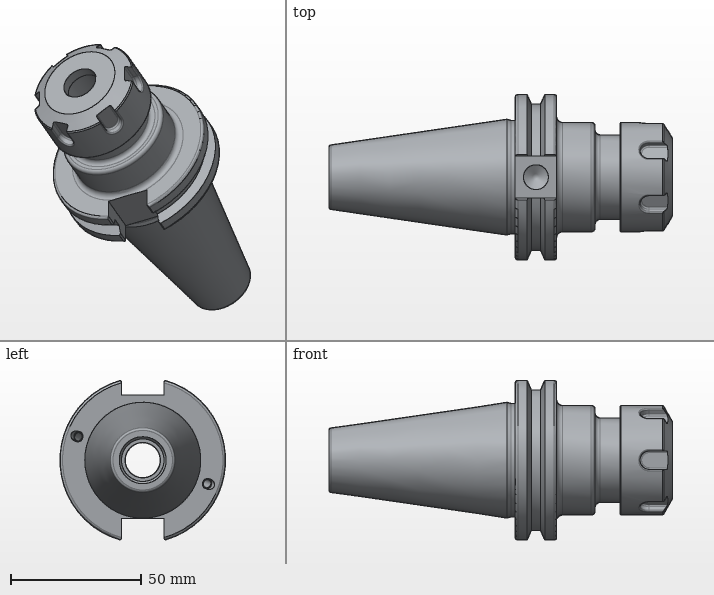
import cadquery as cq
import math


GAUGE_DIAMETER = 44.45
TAPER_LENGTH = 68.25
TAPER_RATIO = 7 / 24
TAPER_END_RADIUS = 1.0
RELIEF_DIAMETER = 43.6
RELIEF_START = 1.5

FLANGE_START = 3.175
FLANGE_WIDTH = 15.875
FLANGE_DIAMETER = 63.5
FLANGE_RIM_RADIUS = 1.0
GROOVE_FLOOR_DIAMETER = 56.3
GROOVE_FLOOR_WIDTH = 3.5
GROOVE_SIDE_LENGTH = 1.65

COLLAR_DIAMETER = 42.0
COLLAR_END = 33.8
COLLAR_FILLET = 2.3
COLLAR_END_RADIUS = 1.5
NECK_DIAMETER = 32.5
NECK_FILLET = 1.9
NOSE_DIAMETER = 32.0

NUT_START = 43.3
NUT_END = 63.5
NUT_DIAMETER = 42.0
NUT_BACK_CHAMFER = 0.4
NUT_CONE_LENGTH = 3.6
NUT_CONE_ANGLE = 60.0
NUT_CONE_EDGE_BREAK = 0.25
NUT_LIP = 4.0
NUT_SLOT_COUNT = 6
NUT_SLOT_WIDTH = 7.0
NUT_SLOT_LENGTH = 12.5
NUT_SLOT_FLOOR = 17.9
NUT_SLOT_FLOOR_FILLET = 0.6
NUT_SLOT_RIM_FILLET = 0.5

BORE_DIAMETER = 13.39
COUNTERBORE_DIAMETER = 16.3
COUNTERBORE_DEPTH = 5.0
MOUTH_DIAMETER = 18.0
MOUTH_DEPTH = 1.5

DRIVE_SLOT_WIDTH = 16.1
DRIVE_SLOT_RIM_WIDTH = 17.34
DRIVE_SLOT_OVERRUN = COLLAR_FILLET
UPPER_SLOT_FLOOR = 25.0
LOWER_SLOT_FLOOR = 22.4
DIMPLE_DIAMETER = 9.53
DIMPLE_POINT_ANGLE = 118.0

COOLANT_CIRCLE_RADIUS = 26.85
COOLANT_POSITION_ANGLE = 20.0
COOLANT_TILT = 30.0
COOLANT_MOUTH_DIAMETER = 4.0
COOLANT_MOUTH_DEPTH = 1.2
COOLANT_DIAMETER = 3.24

TAPER_END = -TAPER_LENGTH
TAPER_END_DIAMETER = GAUGE_DIAMETER - TAPER_LENGTH * TAPER_RATIO
FLANGE_END = FLANGE_START + FLANGE_WIDTH
GROOVE_CENTER = FLANGE_START + FLANGE_WIDTH / 2
NOSE_END = NUT_END - NUT_LIP
CONE_START = NUT_END - NUT_CONE_LENGTH


def x_cylinder(diameter, start, end):
    """Solid cylinder on the X axis."""
    return cq.Workplane("YZ", origin=(start, 0, 0)).circle(diameter / 2).extrude(end - start)


def revolve_about_x(outline):
    """Revolve a closed outline, drawn in X and radius, about the X axis."""
    return outline.close().revolve(360, (0, 0, 0), (1, 0, 0))


def shank_and_nose():
    """Turned outside shape of the holder."""
    flange_r = FLANGE_DIAMETER / 2
    rim_r = flange_r - FLANGE_RIM_RADIUS
    floor_r = GROOVE_FLOOR_DIAMETER / 2
    floor_start = GROOVE_CENTER - GROOVE_FLOOR_WIDTH / 2
    floor_end = GROOVE_CENTER + GROOVE_FLOOR_WIDTH / 2
    collar_r = COLLAR_DIAMETER / 2
    neck_r = NECK_DIAMETER / 2
    nose_r = NOSE_DIAMETER / 2
    bulge = 1 - math.sqrt(0.5)
    outline = (
        cq.Workplane("XY")
        .moveTo(TAPER_END, 0)
        .lineTo(TAPER_END, TAPER_END_DIAMETER / 2)
        .lineTo(0, GAUGE_DIAMETER / 2)
        .lineTo(RELIEF_START, RELIEF_DIAMETER / 2)
        .lineTo(FLANGE_START, RELIEF_DIAMETER / 2)
        .lineTo(FLANGE_START, rim_r)
        .threePointArc(
            (FLANGE_START + bulge * FLANGE_RIM_RADIUS, flange_r - bulge * FLANGE_RIM_RADIUS),
            (FLANGE_START + FLANGE_RIM_RADIUS, flange_r),
        )
        .lineTo(floor_start - GROOVE_SIDE_LENGTH, flange_r)
        .lineTo(floor_start, floor_r)
        .lineTo(floor_end, floor_r)
        .lineTo(floor_end + GROOVE_SIDE_LENGTH, flange_r)
        .lineTo(FLANGE_END - FLANGE_RIM_RADIUS, flange_r)
        .threePointArc(
            (FLANGE_END - bulge * FLANGE_RIM_RADIUS, flange_r - bulge * FLANGE_RIM_RADIUS),
            (FLANGE_END, rim_r),
        )
        .lineTo(FLANGE_END, collar_r + COLLAR_FILLET)
        .threePointArc(
            (FLANGE_END + bulge * COLLAR_FILLET, collar_r + bulge * COLLAR_FILLET),
            (FLANGE_END + COLLAR_FILLET, collar_r),
        )
        .lineTo(COLLAR_END - COLLAR_END_RADIUS, collar_r)
        .threePointArc(
            (COLLAR_END - bulge * COLLAR_END_RADIUS, collar_r - bulge * COLLAR_END_RADIUS),
            (COLLAR_END, collar_r - COLLAR_END_RADIUS),
        )
        .lineTo(COLLAR_END, neck_r + NECK_FILLET)
        .threePointArc(
            (COLLAR_END + bulge * NECK_FILLET, neck_r + bulge * NECK_FILLET),
            (COLLAR_END + NECK_FILLET, neck_r),
        )
        .lineTo(NUT_START, neck_r)
        .lineTo(NUT_START, nose_r)
        .lineTo(NOSE_END, nose_r)
        .lineTo(NOSE_END, 0)
    )
    return revolve_about_x(outline).faces("<X").edges().fillet(TAPER_END_RADIUS)


def holder_bore():
    """Through bore with a counterbore and a conical mouth at the small end of the taper."""
    step = TAPER_END + COUNTERBORE_DEPTH
    outline = (
        cq.Workplane("XY")
        .moveTo(TAPER_END, 0)
        .lineTo(TAPER_END, MOUTH_DIAMETER / 2)
        .lineTo(TAPER_END + MOUTH_DEPTH, COUNTERBORE_DIAMETER / 2)
        .lineTo(step, COUNTERBORE_DIAMETER / 2)
        .lineTo(step, BORE_DIAMETER / 2)
        .lineTo(NOSE_END, BORE_DIAMETER / 2)
        .lineTo(NOSE_END, 0)
    )
    return revolve_about_x(outline)


def drive_slot(floor):
    """Cutter for one drive slot on the +Z side, flared at 45 degrees where it meets the flange rim."""
    half = DRIVE_SLOT_WIDTH / 2
    rim_half = DRIVE_SLOT_RIM_WIDTH / 2
    top = FLANGE_DIAMETER / 2
    rim_height = math.sqrt(top**2 - rim_half**2)
    flare_start = rim_height - (rim_half - half)
    top_half = half + top - flare_start
    return (
        cq.Workplane("YZ", origin=(FLANGE_START, 0, 0))
        .moveTo(-half, floor)
        .lineTo(half, floor)
        .lineTo(half, flare_start)
        .lineTo(top_half, top)
        .lineTo(-top_half, top)
        .lineTo(-half, flare_start)
        .close()
        .extrude(FLANGE_WIDTH + DRIVE_SLOT_OVERRUN)
    )


def dimple():
    """Conical dimple in the floor of the upper drive slot."""
    radius = DIMPLE_DIAMETER / 2
    depth = radius / math.tan(math.radians(DIMPLE_POINT_ANGLE / 2))
    cone = cq.Solid.makeCone(
        radius, 0, depth, pnt=cq.Vector(GROOVE_CENTER, 0, UPPER_SLOT_FLOOR), dir=cq.Vector(0, 0, -1)
    )
    return cq.Workplane(cone)


def coolant_hole():
    """Stepped hole that slants from the rear flange face inward to the central bore."""
    tilt = math.radians(COOLANT_TILT)
    axis = cq.Vector(math.cos(tilt), -math.sin(tilt), 0)
    mouth = cq.Vector(FLANGE_START, COOLANT_CIRCLE_RADIUS, 0)
    length = COOLANT_CIRCLE_RADIUS / math.sin(tilt)
    lead = COOLANT_MOUTH_DIAMETER
    start = mouth - axis * lead
    wide = cq.Solid.makeCylinder(COOLANT_MOUTH_DIAMETER / 2, lead + COOLANT_MOUTH_DEPTH, start, axis)
    narrow = cq.Solid.makeCylinder(COOLANT_DIAMETER / 2, lead + length, start, axis)
    return cq.Workplane(wide).union(cq.Workplane(narrow))


def make_holder():
    body = shank_and_nose().cut(holder_bore())
    body = body.cut(drive_slot(UPPER_SLOT_FLOOR))
    body = body.cut(drive_slot(LOWER_SLOT_FLOOR).rotate((0, 0, 0), (1, 0, 0), 180))
    body = body.cut(dimple())
    for side in (0, 180):
        hole = coolant_hole().rotate((0, 0, 0), (1, 0, 0), COOLANT_POSITION_ANGLE + side)
        body = body.cut(hole)
    return body


def nut_blank():
    """Turned nut with a conical front and broken edges."""
    radius = NUT_DIAMETER / 2
    slope = math.tan(math.radians(NUT_CONE_ANGLE))
    front_r = radius - NUT_CONE_LENGTH * slope
    outline = (
        cq.Workplane("XY")
        .moveTo(NUT_START, 0)
        .lineTo(NUT_START, radius - NUT_BACK_CHAMFER)
        .lineTo(NUT_START + NUT_BACK_CHAMFER, radius)
        .lineTo(CONE_START - NUT_CONE_EDGE_BREAK, radius)
        .lineTo(CONE_START + NUT_CONE_EDGE_BREAK, radius - NUT_CONE_EDGE_BREAK * slope)
        .lineTo(NUT_END, front_r)
        .lineTo(NUT_END, 0)
    )
    return revolve_about_x(outline)


def nut_slot():
    """Cutter for a wrench slot on the +Y side, with a round end and a filleted flat floor."""
    half = NUT_SLOT_WIDTH / 2
    end_center = NUT_END - NUT_SLOT_LENGTH + half
    front = NUT_END + NUT_SLOT_WIDTH
    cutter = (
        cq.Workplane("XZ", origin=(0, NUT_SLOT_FLOOR, 0))
        .moveTo(front, half)
        .lineTo(end_center, half)
        .threePointArc((end_center - half, 0), (end_center, -half))
        .lineTo(front, -half)
        .close()
        .extrude(-NUT_DIAMETER / 2)
    )
    return cutter.faces("<Y").edges("not >X").fillet(NUT_SLOT_FLOOR_FILLET)


def slot_rims(body):
    """Edges where the slots open through the outer cylinder of the nut."""
    back = NUT_END - NUT_SLOT_LENGTH - NUT_SLOT_RIM_FILLET
    front = CONE_START - NUT_SLOT_RIM_FILLET
    rims = []
    for edge in body.edges().vals():
        middle = edge.positionAt(0.5)
        on_cylinder = math.isclose(math.hypot(middle.y, middle.z), NUT_DIAMETER / 2, rel_tol=1e-6)
        if on_cylinder and back < middle.x < front:
            rims.append(edge)
    return rims


def make_nut():
    body = nut_blank()
    for index in range(NUT_SLOT_COUNT):
        body = body.cut(nut_slot().rotate((0, 0, 0), (1, 0, 0), index * 360 / NUT_SLOT_COUNT))
    body = body.newObject(slot_rims(body)).fillet(NUT_SLOT_RIM_FILLET)
    body = body.cut(x_cylinder(NOSE_DIAMETER, NUT_START, NOSE_END))
    return body.cut(x_cylinder(BORE_DIAMETER, NOSE_END, NUT_END))


holder = make_holder()
nut = make_nut()
result = cq.Compound.makeCompound([*holder.solids().vals(), *nut.solids().vals()])